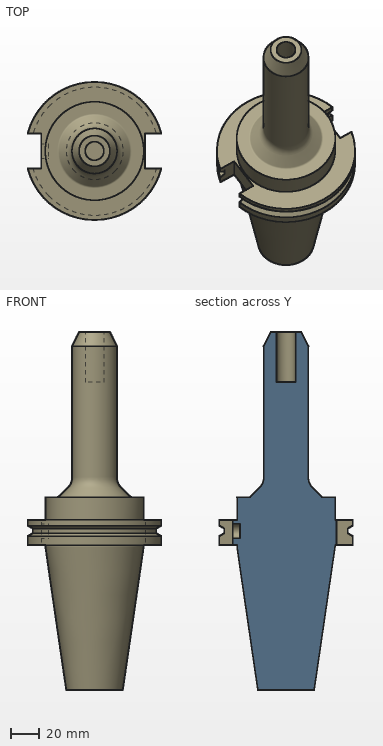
import cadquery as cq
import math

overall_length = 254.0
gauge_height = 101.5
gauge_radius = 34.92
taper_per_length = 7 / 24
shank_end_radius = gauge_radius - gauge_height * taper_per_length / 2

flange_radius = 49.0
flange_bottom = 102.9
flange_top = 120.6
groove_floor_radius = 45.5
groove_lower_edge = 109.2
groove_upper_edge = 116.5
groove_wall_angle = math.radians(30)
groove_wall_rise = (flange_radius - groove_floor_radius) * math.tan(groove_wall_angle)

collar_top = 137.0
nose_radius = 16.0
cone_base_radius = 25.7
neck_fillet = 10.0
base_fillet = 1.8
tip_radius = 11.0
tip_length = 10.2

bore_radius = 6.5
bore_depth = 35.5

slot_width = 24.6
shallow_slot_floor = 37.8
deep_slot_floor = 35.8
recess_radius = 5.0
recess_height = 112.8
recess_depth = 5.0


def make_body():
    """Revolve the half profile about the Z axis."""
    cone_angle = math.radians(45)
    diagonal = math.sin(cone_angle)
    base_tangent = base_fillet * math.tan(cone_angle / 2)
    neck_tangent = neck_fillet * math.tan(cone_angle / 2)
    neck_corner_height = collar_top + cone_base_radius - nose_radius
    base_fillet_end = (
        cone_base_radius - base_tangent * diagonal,
        collar_top + base_tangent * diagonal,
    )
    neck_fillet_start = (
        nose_radius + neck_tangent * diagonal,
        neck_corner_height - neck_tangent * diagonal,
    )
    neck_fillet_end = (nose_radius, neck_corner_height + neck_tangent)
    profile = (
        cq.Workplane("XZ")
        .lineTo(shank_end_radius, 0)
        .lineTo(gauge_radius, gauge_height)
        .lineTo(gauge_radius, flange_bottom)
        .lineTo(flange_radius, flange_bottom)
        .lineTo(flange_radius, groove_lower_edge)
        .lineTo(groove_floor_radius, groove_lower_edge + groove_wall_rise)
        .lineTo(groove_floor_radius, groove_upper_edge - groove_wall_rise)
        .lineTo(flange_radius, groove_upper_edge)
        .lineTo(flange_radius, flange_top)
        .lineTo(gauge_radius, flange_top)
        .lineTo(gauge_radius, collar_top)
        .lineTo(cone_base_radius + base_tangent, collar_top)
        .tangentArcPoint(base_fillet_end, relative=False)
        .lineTo(*neck_fillet_start)
        .tangentArcPoint(neck_fillet_end, relative=False)
        .lineTo(nose_radius, overall_length - tip_length)
        .lineTo(tip_radius, overall_length)
        .lineTo(0, overall_length)
        .close()
    )
    return profile.revolve(360, (0, 0, 0), (0, 1, 0))


def make_slot(side, floor_distance):
    """Slot through the flange; side is -1 or 1 along X."""
    slot_length = flange_radius
    slot_height = flange_top - flange_bottom
    slot_center = side * (floor_distance + slot_length / 2)
    return (
        cq.Workplane("XY", origin=(slot_center, 0, flange_bottom))
        .box(slot_length, slot_width, slot_height, centered=(True, True, False))
    )


def make_bore():
    return (
        cq.Workplane("XY")
        .workplane(offset=overall_length - bore_depth)
        .circle(bore_radius)
        .extrude(bore_depth)
    )


def make_slot_recess():
    return (
        cq.Workplane("YZ", origin=(-shallow_slot_floor, 0, recess_height))
        .circle(recess_radius)
        .extrude(recess_depth)
    )


result = (
    make_body()
    .cut(make_bore())
    .cut(make_slot(-1, shallow_slot_floor))
    .cut(make_slot(1, deep_slot_floor))
    .cut(make_slot_recess())
)